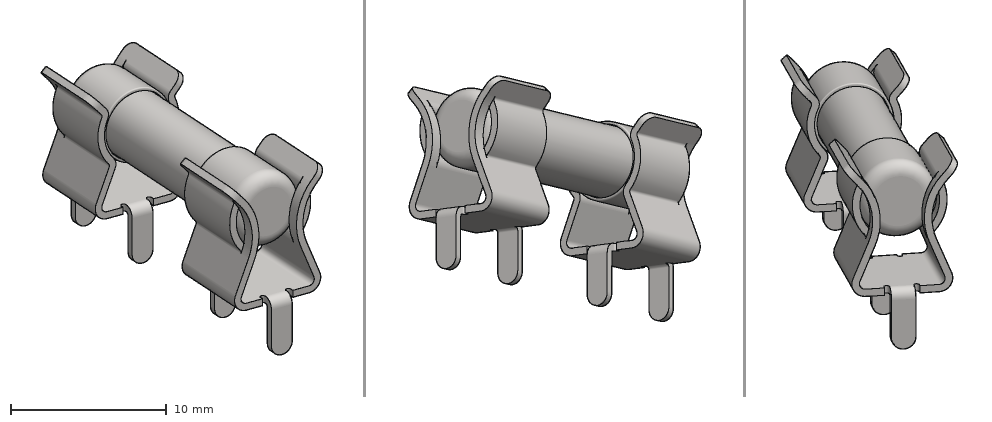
import cadquery as cq
import math


fuse_length = 20.5
fuse_axis_z = 5.95
tube_diameter = 4.7
cap_diameter = 5.2
cap_bore_diameter = 4.8
cap_length = 5.0
cap_rounding = 0.9
cap_mouth_rounding = 0.1
cap_bore_depth = cap_length - cap_rounding

sheet = 0.5
overall_length = 23.62
clip_width = 6.2
clip_outer_x = overall_length / 2 - sheet
clip_center_x = clip_outer_x - clip_width / 2

bend_radius = 0.9
bend_center = (2.4, bend_radius)
neck_radius = 3.7
neck_center = (5.64, 5.07)
flare_angle = math.radians(42)
flare_length = 1.27
tip_corner_radius = 0.8

cup_center = (0, fuse_axis_z)
cup_inner_radius = cap_diameter / 2
cup_outer_radius = cup_inner_radius + sheet
cup_setback = 0.88
crease_radius = 0.2

leg_width = 1.6
leg_drop = 3.57
leg_bend_inner_radius = 0.2
leg_bend_outer_radius = leg_bend_inner_radius + sheet
relief_width = 0.36
relief_depth = 0.41

origin = (0, 0, 0)
up = (0, 0, 1)
end_angles = (0, 180)


def cylinder_x(radius, start_x, length):
    """Cylinder on the fuse axis, running toward +X."""
    return cq.Workplane("YZ", origin=(start_x, 0, fuse_axis_z)).circle(radius).extrude(length)


def place(center, radius, angle):
    """Point at an angle on a circle, in the plane of the center."""
    return (center[0] + radius * math.cos(angle), center[1] + radius * math.sin(angle))


def turn_arc(center, outer_radius, inner_radius, start_angle, end_angle):
    """Arc of the strip: radii of its outer and inner face, and the angles from base end to tip end."""
    return {
        "center": center,
        "outer": outer_radius,
        "inner": inner_radius,
        "angles": (start_angle, (start_angle + end_angle) / 2, end_angle),
    }


def turn_points(turn, face):
    """Start, middle and end of a turn on the outer or inner face of the strip."""
    return [place(turn["center"], turn[face], angle) for angle in turn["angles"]]


bend_to_neck = (neck_center[0] - bend_center[0], neck_center[1] - bend_center[1])
lean = math.atan2(bend_to_neck[1], bend_to_neck[0]) - math.acos(
    (bend_radius + neck_radius) / math.hypot(*bend_to_neck)
)


def crease_direction(normal_angle, side):
    """Angle, seen from the cup axis, of the crease joining the cup to a straight stretch of the arm.

    normal_angle is the outward direction of that stretch; side is +1 above the cup and -1 below it.
    """
    neck_offset = (neck_center[0] - cup_center[0], neck_center[1] - cup_center[1])
    neck_distance = neck_offset[0] * math.cos(normal_angle) + neck_offset[1] * math.sin(normal_angle)
    crease_distance = neck_distance - neck_radius + crease_radius
    return normal_angle + side * math.acos(crease_distance / (cup_outer_radius + crease_radius))


low_crease_angle = crease_direction(lean, -1)
high_crease_angle = crease_direction(-flare_angle, 1)
low_crease_center = place(cup_center, cup_outer_radius + crease_radius, low_crease_angle)
high_crease_center = place(cup_center, cup_outer_radius + crease_radius, high_crease_angle)
arm_end = math.pi + lean
flare_start = math.pi - flare_angle

base_turn = turn_arc(bend_center, bend_radius, bend_radius - sheet, -math.pi / 2, lean)
neck_turn = turn_arc(neck_center, neck_radius, neck_radius + sheet, arm_end, flare_start)
cup_turn = turn_arc(cup_center, cup_outer_radius, cup_inner_radius, low_crease_angle, high_crease_angle)
low_crease_turn = turn_arc(
    low_crease_center, crease_radius, crease_radius + sheet, arm_end, math.pi + low_crease_angle
)
high_crease_turn = turn_arc(
    high_crease_center, crease_radius, crease_radius + sheet, math.pi + high_crease_angle, flare_start
)


def flare_tip(radius):
    """End of the flared tip, on the face that leaves the neck at this radius."""
    flare_foot = place(neck_center, radius, flare_start)
    return place(flare_foot, flare_length, math.pi / 2 - flare_angle)


def strip_half(curves, start_x, width):
    """+Y half of the bent strip, from the mid-plane to the flared tip.

    Each curve is a list of turns that follow one another; the strip runs straight between curves.
    """
    outline = cq.Workplane("YZ", origin=(start_x, 0, 0)).moveTo(0, 0)
    for curve in curves:
        outline = outline.lineTo(*turn_points(curve[0], "outer")[0])
        for turn in curve:
            outline = outline.threePointArc(*turn_points(turn, "outer")[1:])
    outline = outline.lineTo(*flare_tip(neck_radius)).lineTo(*flare_tip(neck_radius + sheet))
    for curve in reversed(curves):
        outline = outline.lineTo(*turn_points(curve[-1], "inner")[-1])
        for turn in reversed(curve):
            start, middle, _ = turn_points(turn, "inner")
            outline = outline.threePointArc(middle, start)
    return outline.lineTo(0, sheet).close().extrude(width)


def make_leg():
    """Leg bent down from the -X end of the base, with a rounded end."""
    edge_x = -clip_width / 2
    bend_x = edge_x + leg_bend_inner_radius
    bend_z = sheet - leg_bend_outer_radius
    arc_center = (bend_x, bend_z)
    middle_angle = math.radians(135)
    root_x = edge_x + relief_depth
    leg_round_z = leg_width / 2 - leg_drop
    strip = (
        cq.Workplane("XZ", origin=(0, leg_width / 2, 0))
        .moveTo(root_x, 0)
        .lineTo(root_x, sheet)
        .lineTo(bend_x, sheet)
        .threePointArc(place(arc_center, leg_bend_outer_radius, middle_angle), (edge_x - sheet, bend_z))
        .lineTo(edge_x - sheet, leg_round_z)
        .lineTo(edge_x, leg_round_z)
        .lineTo(edge_x, bend_z)
        .threePointArc(place(arc_center, leg_bend_inner_radius, middle_angle), (bend_x, 0))
        .close()
        .extrude(leg_width)
    )
    round_end = (
        cq.Workplane("YZ", origin=(edge_x - sheet, 0, leg_round_z))
        .circle(leg_width / 2)
        .extrude(sheet)
    )
    return strip.union(round_end)


def make_relief(center_y):
    """Round-ended notch beside the leg, cut through the base from its -X edge."""
    edge_x = -clip_width / 2
    slot_length = 2 * relief_depth
    return cq.Workplane("XY", origin=(edge_x, center_y, 0)).slot2D(slot_length, relief_width).extrude(sheet)


def make_leg_cuts():
    """Material taken from the -X edge of the base: room for the leg bend and a notch on each side of it."""
    bend_room = (
        cq.Workplane("XY", origin=(-clip_width / 2, 0, 0))
        .rect(2 * leg_bend_inner_radius, leg_width)
        .extrude(sheet)
    )
    relief_y = (leg_width + relief_width) / 2
    return bend_room.union(make_relief(relief_y)).union(make_relief(-relief_y))


def make_clip():
    """Clip for the -X end of the fuse, centred on X = 0, with its cups toward +X."""
    start_x = -clip_width / 2
    half = strip_half([[base_turn], [neck_turn]], start_x, cup_setback)
    cup_curves = [[base_turn], [low_crease_turn, cup_turn, high_crease_turn]]
    half = half.union(strip_half(cup_curves, start_x + cup_setback, clip_width - cup_setback))
    across_sheet = cq.Vector(0, -math.cos(flare_angle), math.sin(flare_angle))
    half = half.edges(cq.selectors.ParallelDirSelector(across_sheet)).edges(">Z").fillet(tip_corner_radius)
    clip = half.union(half.mirror("XZ"))
    leg = make_leg()
    leg_cuts = make_leg_cuts()
    for end_angle in end_angles:
        clip = clip.cut(leg_cuts.rotate(origin, up, end_angle))
        clip = clip.union(leg.rotate(origin, up, end_angle))
    return clip


def make_cap():
    """Cap for the -X end of the fuse, rounded outside and bored for the tube."""
    start_x = -fuse_length / 2
    cap = cylinder_x(cap_diameter / 2, start_x, cap_length)
    cap = cap.faces("<X").edges().fillet(cap_rounding)
    cap = cap.faces(">X").edges().fillet(cap_mouth_rounding)
    bore_x = start_x + cap_length - cap_bore_depth
    return cap.cut(cylinder_x(cap_bore_diameter / 2, bore_x, cap_bore_depth))


def make_tube():
    """Tube standing on the floors of both cap bores."""
    length = fuse_length - 2 * (cap_length - cap_bore_depth)
    return cylinder_x(tube_diameter / 2, -length / 2, length)


tube = make_tube()
clip = make_clip().translate((-clip_center_x, 0, 0))
cap = make_cap()

bodies = [tube.val()]
for end_angle in end_angles:
    bodies.append(clip.rotate(origin, up, end_angle).val())
    bodies.append(cap.rotate(origin, up, end_angle).val())

result = cq.Compound.makeCompound(bodies)